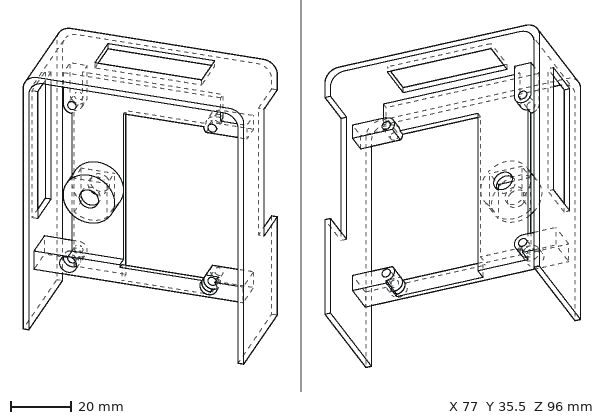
import cadquery as cq

WIDTH = 77.0
DEPTH = 35.5
HEIGHT = 96.0
WALL = 2.0
OUTER_RADIUS = 5.0
INNER_RADIUS = 5.0
INNER_X = WIDTH / 2 - WALL
INNER_TOP = HEIGHT - WALL

TOP_WINDOW_WIDTH = 37.2
TOP_WINDOW_Y = (15.7, 29.5)
SIDE_WINDOW_Y = (9.4, 23.4)
SIDE_WINDOW_Z = (37.2, 85.2)
REAR_NOTCH_FRONT = 21.6

SCREW_DIAMETER = 3.0
SCREW_PAD_RADIUS = 3.0
SCREW_SPACING_X = 49.0
SCREW_SPACING_Z = 58.0
LEFT_SCREW_X = -24.6
RIGHT_SCREW_X = LEFT_SCREW_X + SCREW_SPACING_X
UPPER_SCREW_Z = 82.0
LOWER_SCREW_Z = UPPER_SCREW_Z - SCREW_SPACING_Z
PAD_CLIP = 2.0

PLATE_FRONT = 9.4
PLATE_BACK = PLATE_FRONT + 2.4
PAD_BACK = 16.5

PLATE_RIGHT = 27.4
RIGHT_PAD_TOP = 85.2
BOSS_DIAMETER = 18.0
BOSS_HOLE_DIAMETER = 6.7
BOSS_Z = 53.2
BOSS_LIP = 2.0
NUT_SLOT_WIDTH = 11.5
SPINE_LEFT = LEFT_SCREW_X
SPINE_RIGHT = SPINE_LEFT + BOSS_DIAMETER
BOSS_X = (SPINE_LEFT + SPINE_RIGHT) / 2

BAR_FRONT = 5.5
BAR_THICKNESS = 2.0
BAR_BOTTOM = 20.1
BAR_LEFT_TOP = LOWER_SCREW_Z + SCREW_PAD_RADIUS
BAR_RIGHT_TOP = LOWER_SCREW_Z + PAD_CLIP
COUNTERBORE_DIAMETER = 6.0


def block(x_range, y_range, z_range):
    """Box spanning the given (low, high) limits."""
    x0, x1 = x_range
    y0, y1 = y_range
    z0, z1 = z_range
    return cq.Workplane("XY").box(x1 - x0, y1 - y0, z1 - z0, centered=False).translate((x0, y0, z0))


def rod(x, z, diameter, y_range):
    """Cylinder along Y spanning the given (front, back) limits."""
    front, back = y_range
    return cq.Workplane("XZ", origin=(x, front, z)).circle(diameter / 2).extrude(front - back)


def make_shell():
    outside = block((-WIDTH / 2, WIDTH / 2), (0, DEPTH), (0, HEIGHT))
    outside = outside.edges("|Y and >Z").fillet(OUTER_RADIUS)
    inside = block((-INNER_X, INNER_X), (0, DEPTH), (0, INNER_TOP))
    inside = inside.edges("|Y and >Z").fillet(INNER_RADIUS)
    half_window = TOP_WINDOW_WIDTH / 2
    top_window = block((-half_window, half_window), TOP_WINDOW_Y, (INNER_TOP, HEIGHT))
    left_window = block((-WIDTH / 2, -INNER_X), SIDE_WINDOW_Y, SIDE_WINDOW_Z)
    right_notch = block((INNER_X, WIDTH / 2), (REAR_NOTCH_FRONT, DEPTH), SIDE_WINDOW_Z)
    return outside.cut(inside).cut(top_window).cut(left_window).cut(right_notch)


def make_upper_frame():
    plate_y = (PLATE_FRONT, PLATE_BACK)
    pad_y = (PLATE_FRONT, PAD_BACK)
    pad_diameter = 2 * SCREW_PAD_RADIUS
    pad_left = LEFT_SCREW_X - SCREW_PAD_RADIUS
    clip_z = UPPER_SCREW_Z - PAD_CLIP

    plate = block((pad_left, PLATE_RIGHT), plate_y, (UPPER_SCREW_Z, INNER_TOP))
    spine = block((SPINE_LEFT, SPINE_RIGHT), plate_y, (BAR_BOTTOM, INNER_TOP))
    boss = rod(BOSS_X, BOSS_Z, BOSS_DIAMETER, (0, PLATE_BACK))

    left_pad = rod(LEFT_SCREW_X, UPPER_SCREW_Z, pad_diameter, pad_y)
    left_post = block((pad_left, LEFT_SCREW_X + SCREW_PAD_RADIUS), pad_y, (UPPER_SCREW_Z, INNER_TOP))

    right_pad = rod(RIGHT_SCREW_X, UPPER_SCREW_Z, pad_diameter, pad_y)
    right_arm = block((RIGHT_SCREW_X, INNER_X), pad_y, (clip_z, RIGHT_PAD_TOP))
    right_side = right_pad.union(right_arm).intersect(
        block((0, INNER_X), pad_y, (clip_z, RIGHT_PAD_TOP))
    )
    return plate.union(spine).union(boss).union(left_pad).union(left_post).union(right_side)


def make_lower_bar():
    pad_y = (BAR_FRONT, PAD_BACK)
    pad_diameter = 2 * SCREW_PAD_RADIUS
    thin_y = (BAR_FRONT, BAR_FRONT + BAR_THICKNESS)

    thin_bar = block((-INNER_X, INNER_X), thin_y, (BAR_BOTTOM, BAR_RIGHT_TOP))
    spine_foot = block((-INNER_X, SPINE_RIGHT), (BAR_FRONT, PLATE_BACK), (BAR_BOTTOM, BAR_LEFT_TOP))
    left_arm = block((-INNER_X, LEFT_SCREW_X), pad_y, (BAR_BOTTOM, BAR_LEFT_TOP))
    left_pad = rod(LEFT_SCREW_X, LOWER_SCREW_Z, pad_diameter, pad_y)

    right_pad = rod(RIGHT_SCREW_X, LOWER_SCREW_Z, pad_diameter, pad_y)
    right_arm = block((RIGHT_SCREW_X, INNER_X), pad_y, (BAR_BOTTOM, BAR_RIGHT_TOP))
    right_side = right_pad.union(right_arm).intersect(
        block((0, INNER_X), pad_y, (BAR_BOTTOM, BAR_RIGHT_TOP))
    )
    return thin_bar.union(spine_foot).union(left_arm).union(left_pad).union(right_side)


def make_nut_slot():
    """Square-ended slot behind the front lip of the boss, open at the bottom of the boss."""
    half_width = NUT_SLOT_WIDTH / 2
    return block(
        (BOSS_X - half_width, BOSS_X + half_width),
        (BOSS_LIP, PLATE_FRONT),
        (BOSS_Z - BOSS_DIAMETER / 2, BOSS_Z + half_width),
    )


result = make_shell().union(make_upper_frame()).union(make_lower_bar())

result = result.cut(rod(BOSS_X, BOSS_Z, BOSS_HOLE_DIAMETER, (0, PLATE_BACK)))
result = result.cut(make_nut_slot())
for screw_x in (LEFT_SCREW_X, RIGHT_SCREW_X):
    for screw_z in (LOWER_SCREW_Z, UPPER_SCREW_Z):
        result = result.cut(rod(screw_x, screw_z, SCREW_DIAMETER, (0, DEPTH)))
    result = result.cut(rod(screw_x, LOWER_SCREW_Z, COUNTERBORE_DIAMETER, (BAR_FRONT, PLATE_FRONT)))